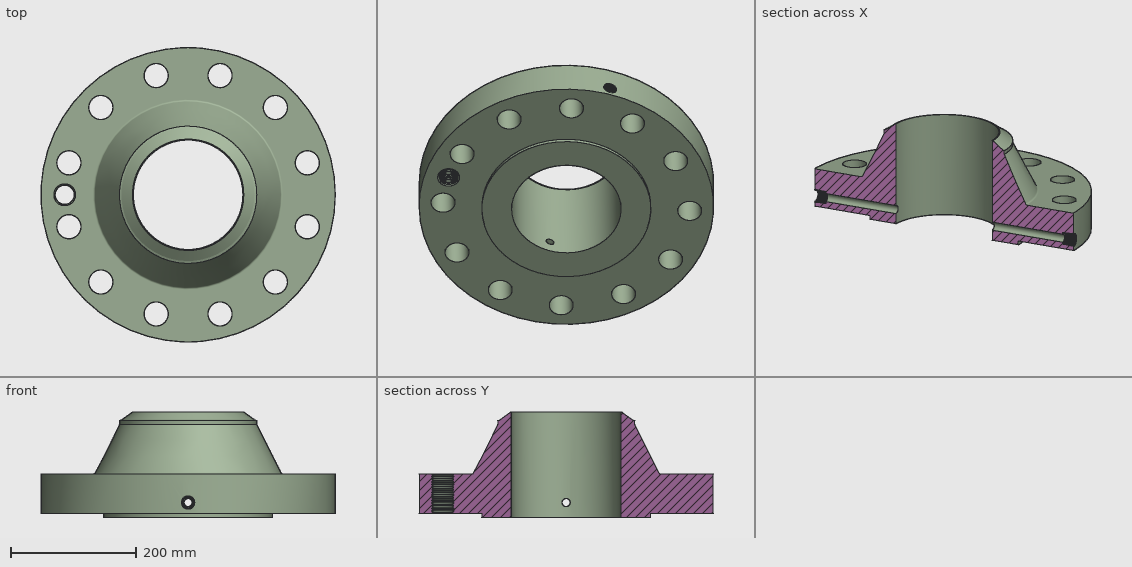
import cadquery as cq
import math

FLANGE_DIAMETER = 469.9
FLANGE_THICKNESS = 63.5
FACE_DIAMETER = 269.7
FACE_HEIGHT = 6.2
TOTAL_HEIGHT = 168.4
BORE_DIAMETER = 174.6

HUB_BASE_DIAMETER = 298.5
HUB_FILLET = 3.4
NECK_DIAMETER = 219.1
NECK_LENGTH = 6.0
LEDGE_WIDTH = 3.5
LEDGE_HEIGHT = 1.4
BEVEL_HEIGHT = 12.4
LAND_WIDTH = 1.6

BOLT_COUNT = 12
BOLT_CIRCLE_DIAMETER = 393.7
BOLT_HOLE_DIAMETER = 38.1

JACK_MAJOR_DIAMETER = 34.9
JACK_MINOR_DIAMETER = 30.3
JACK_PITCH = 25.4 / 6

TAP_HEIGHT = 24.0
TAP_MAJOR_DIAMETER = 21.3
TAP_MINOR_DIAMETER = 18.0
TAP_PITCH = 25.4 / 14
TAP_THREADS = 11
TAP_TAPER = 1 / 16
TAP_DRILL_DIAMETER = 12.7

FLANGE_RADIUS = FLANGE_DIAMETER / 2
BORE_RADIUS = BORE_DIAMETER / 2
NECK_RADIUS = NECK_DIAMETER / 2
BOLT_CIRCLE_RADIUS = BOLT_CIRCLE_DIAMETER / 2
FLANGE_TOP = FACE_HEIGHT + FLANGE_THICKNESS
BEVEL_BOTTOM = TOTAL_HEIGHT - BEVEL_HEIGHT
NECK_TOP = BEVEL_BOTTOM - LEDGE_HEIGHT
NECK_BOTTOM = NECK_TOP - NECK_LENGTH


def make_body():
    """Revolve the flange, raised face, hub and weld end about Z."""
    profile = [
        (BORE_RADIUS, 0),
        (FACE_DIAMETER / 2, 0),
        (FACE_DIAMETER / 2, FACE_HEIGHT),
        (FLANGE_RADIUS, FACE_HEIGHT),
        (FLANGE_RADIUS, FLANGE_TOP),
        (HUB_BASE_DIAMETER / 2, FLANGE_TOP),
        (NECK_RADIUS, NECK_BOTTOM),
        (NECK_RADIUS, NECK_TOP),
        (NECK_RADIUS - LEDGE_WIDTH, BEVEL_BOTTOM),
        (BORE_RADIUS + LAND_WIDTH, TOTAL_HEIGHT),
        (BORE_RADIUS, TOTAL_HEIGHT),
    ]
    body = cq.Workplane("XZ").polyline(profile).close().revolve(360, (0, 0, 0), (0, 1, 0))
    flange_face = cq.selectors.NearestToPointSelector((0, BOLT_CIRCLE_RADIUS, FLANGE_TOP))
    hub_corner = cq.selectors.RadiusNthSelector(0)
    return body.faces(flange_face).edges(hub_corner).fillet(HUB_FILLET)


def make_bolt_holes():
    """Bolt hole cutters, straddling the X and Y axes."""
    half_step = 180 / BOLT_COUNT
    return (
        cq.Workplane("XY")
        .polarArray(BOLT_CIRCLE_RADIUS, half_step, 360, BOLT_COUNT)
        .circle(BOLT_HOLE_DIAMETER / 2)
        .extrude(FLANGE_TOP)
    )


def make_thread(major, minor, pitch, count, taper=0):
    """Threaded hole cutter along +Z from the origin, with V grooves; taper is diameter lost per length."""
    points = [(0, 0), (major / 2, 0)]
    for index in range(count):
        crest = (index + 0.5) * pitch
        root = (index + 1) * pitch
        points.append(((minor - taper * crest) / 2, crest))
        points.append(((major - taper * root) / 2, root))
    points.append((0, count * pitch))
    return cq.Workplane("XZ").polyline(points).close().revolve(360, (0, 0, 0), (0, 1, 0))


def make_jack_hole():
    """Threaded through hole for a jack screw, on the -X axis."""
    count = math.ceil(FLANGE_THICKNESS / JACK_PITCH)
    thread = make_thread(JACK_MAJOR_DIAMETER, JACK_MINOR_DIAMETER, JACK_PITCH, count)
    return thread.rotate((0, 0, 0), (1, 0, 0), 180).translate((-BOLT_CIRCLE_RADIUS, 0, FLANGE_TOP))


def make_pressure_tap():
    """Tapered threaded hole entering the rim at -Y, with a drilled passage into the bore."""
    thread = make_thread(TAP_MAJOR_DIAMETER, TAP_MINOR_DIAMETER, TAP_PITCH, TAP_THREADS, TAP_TAPER)
    passage = cq.Workplane("XY").circle(TAP_DRILL_DIAMETER / 2).extrude(FLANGE_RADIUS)
    tap = thread.union(passage)
    return tap.rotate((0, 0, 0), (1, 0, 0), -90).translate((0, -FLANGE_RADIUS, TAP_HEIGHT))


near_tap = make_pressure_tap()
far_tap = near_tap.mirror("XZ")

result = (
    make_body()
    .cut(make_bolt_holes())
    .cut(make_jack_hole())
    .cut(near_tap)
    .cut(far_tap)
)